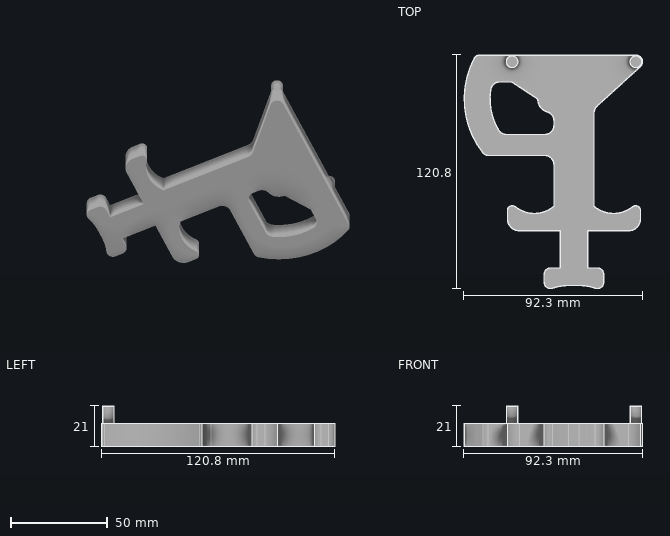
import cadquery as cq
import math


plate_thickness = 12.0
pin_diameter = 6.0
pin_height = 9.0
pin_spacing = 64.0
pin_margin = 3.5
top_y = pin_margin
center_x = pin_spacing / 2

stem_width = 20.9
flank_angle = 42.3
flank_fillet = 5.0

grip_left_x = -24.84
grip_center_y = -19.2
grip_outer_radius = 45.0
grip_thickness = 13.5
bar_top_y = -37.5
bar_bottom_y = -48.5
grip_top_fillet = 3.0
grip_bottom_fillet = 3.4
stem_fillet = 4.6

opening_top_y = -10.5
opening_wide_x = -0.15
lobe_radius = 7.0
lobe_x = 20.2
lobe_y = -19.3
opening_fillet = 4.5
lobe_fillet = 4.4

arm_span = 69.0
arm_bottom_y = -87.5
arm_scoop_radius = 15.6
arm_scoop_offset = 20.5
arm_scoop_low_y = -78.4
arm_tip_fillet = 2.6
arm_bottom_fillet = 6.4

neck_width = 14.4
foot_width = 31.0
foot_top_y = -106.6
foot_bottom_y = -117.34
foot_arch_y = -115.75
foot_arch_flat = 5.4
foot_fillet = 3.4

stem_left_x = center_x - stem_width / 2
stem_right_x = center_x + stem_width / 2
arm_left_x = center_x - arm_span / 2
foot_left_x = center_x - foot_width / 2
grip_center_x = grip_left_x + grip_outer_radius
grip_inner_radius = grip_outer_radius - grip_thickness
scoop_center_y = arm_scoop_low_y + arm_scoop_radius

foot_round_dx = (foot_width - foot_arch_flat) / 2 - foot_fillet
foot_round_dy = foot_arch_y - foot_bottom_y - foot_fillet
foot_arch_radius = (foot_round_dx**2 + foot_round_dy**2 - foot_fillet**2) / (2 * (foot_fillet + foot_round_dy))


def circle_x(center, radius, y, side):
    """X where a circle crosses the height y, on its left (-1) or right (+1) side."""
    return center[0] + side * math.sqrt(radius**2 - (y - center[1])**2)


def circle_y(center, radius, x, side):
    """Y where a circle crosses the position x, on its lower (-1) or upper (+1) side."""
    return center[1] + side * math.sqrt(radius**2 - (x - center[0])**2)


def fillet_at(solid, point, radius):
    """Round the upright edge that passes nearest to an XY point."""
    edge = cq.selectors.NearestToPointSelector((point[0], point[1], plate_thickness / 2))
    return solid.edges("|Z").edges(edge).fillet(radius)


def mirrored(point):
    """The matching point on the other side of the symmetry line."""
    return (2 * center_x - point[0], point[1])


def make_head():
    """Grip, nose and stem as one plate, with its outer corners rounded."""
    grip_center = (grip_center_x, grip_center_y)
    grip_top = (circle_x(grip_center, grip_outer_radius, top_y, -1), top_y)
    grip_bottom = (circle_x(grip_center, grip_outer_radius, bar_bottom_y, -1), bar_bottom_y)
    angle = math.radians(flank_angle)
    nose_end = (pin_spacing + pin_margin * math.sin(angle), -pin_margin * math.cos(angle))
    nose_middle = (pin_spacing + pin_margin * math.cos(angle / 2), pin_margin * math.sin(angle / 2))
    flank_end = (stem_right_x, nose_end[1] - (nose_end[0] - stem_right_x) * math.tan(angle))
    stem_corner = (stem_left_x, bar_bottom_y)
    head = (
        cq.Workplane("XY")
        .moveTo(*grip_top)
        .lineTo(pin_spacing, top_y)
        .threePointArc(nose_middle, nose_end)
        .lineTo(*flank_end)
        .lineTo(stem_right_x, arm_bottom_y)
        .lineTo(stem_left_x, arm_bottom_y)
        .lineTo(*stem_corner)
        .lineTo(*grip_bottom)
        .threePointArc((grip_left_x, grip_center_y), grip_top)
        .close()
        .extrude(plate_thickness)
    )
    head = fillet_at(head, grip_top, grip_top_fillet)
    head = fillet_at(head, grip_bottom, grip_bottom_fillet)
    head = fillet_at(head, stem_corner, stem_fillet)
    return fillet_at(head, flank_end, flank_fillet)


def make_opening():
    """Finger opening of the handle, bounded by the grip, the lower bar and the stem."""
    grip_center = (grip_center_x, grip_center_y)
    lobe_center = (lobe_x, lobe_y)
    lobe_start = (lobe_x - lobe_radius, lobe_y)
    lobe_middle_x = (lobe_start[0] + lobe_x) / 2
    lobe_middle = (lobe_middle_x, circle_y(lobe_center, lobe_radius, lobe_middle_x, -1))
    lobe_end = (stem_left_x, circle_y(lobe_center, lobe_radius, stem_left_x, -1))
    top_left = (circle_x(grip_center, grip_inner_radius, opening_top_y, -1), opening_top_y)
    bottom_left = (circle_x(grip_center, grip_inner_radius, bar_top_y, -1), bar_top_y)
    bottom_right = (stem_left_x, bar_top_y)
    opening = (
        cq.Workplane("XY")
        .moveTo(*top_left)
        .lineTo(opening_wide_x, opening_top_y)
        .lineTo(*lobe_start)
        .threePointArc(lobe_middle, lobe_end)
        .lineTo(*bottom_right)
        .lineTo(*bottom_left)
        .threePointArc((grip_center_x - grip_inner_radius, grip_center_y), top_left)
        .close()
        .extrude(plate_thickness)
    )
    opening = fillet_at(opening, lobe_end, lobe_fillet)
    for corner in (top_left, bottom_left, bottom_right):
        opening = fillet_at(opening, corner, opening_fillet)
    return opening


def make_arms():
    """Cross bar with a scooped upper side and a rounded tip at each end."""
    scoop_center = (center_x - arm_scoop_offset, scoop_center_y)
    scoop_low = (scoop_center[0], arm_scoop_low_y)
    scoop_inner = (stem_left_x, circle_y(scoop_center, arm_scoop_radius, stem_left_x, -1))
    tip = (arm_left_x, circle_y(scoop_center, arm_scoop_radius, arm_left_x, -1))
    bottom = (arm_left_x, arm_bottom_y)
    arms = (
        cq.Workplane("XY")
        .moveTo(*bottom)
        .lineTo(*tip)
        .threePointArc(scoop_low, scoop_inner)
        .lineTo(*mirrored(scoop_inner))
        .threePointArc(mirrored(scoop_low), mirrored(tip))
        .lineTo(*mirrored(bottom))
        .close()
        .extrude(plate_thickness)
    )
    for corner, radius in ((tip, arm_tip_fillet), (bottom, arm_bottom_fillet)):
        arms = fillet_at(arms, corner, radius)
        arms = fillet_at(arms, mirrored(corner), radius)
    return arms


def make_neck():
    """Straight bar from the arms down into the foot."""
    length = arm_bottom_y - foot_top_y
    return (
        cq.Workplane("XY")
        .center(center_x, foot_top_y + length / 2)
        .rect(neck_width, length)
        .extrude(plate_thickness)
    )


def make_foot():
    """Cross piece at the end of the neck, with an arched underside and rounded corners."""
    flat_end = (center_x - foot_arch_flat / 2, foot_arch_y)
    arch_center = (flat_end[0], foot_arch_y - foot_arch_radius)
    arch_middle_x = (foot_left_x + flat_end[0]) / 2
    arch_middle = (arch_middle_x, circle_y(arch_center, foot_arch_radius, arch_middle_x, 1))
    top = (foot_left_x, foot_top_y)
    toe = (foot_left_x, circle_y(arch_center, foot_arch_radius, foot_left_x, 1))
    foot = (
        cq.Workplane("XY")
        .moveTo(*top)
        .lineTo(*toe)
        .threePointArc(arch_middle, flat_end)
        .lineTo(*mirrored(flat_end))
        .threePointArc(mirrored(arch_middle), mirrored(toe))
        .lineTo(*mirrored(top))
        .close()
        .extrude(plate_thickness)
    )
    for corner in (top, toe):
        foot = fillet_at(foot, corner, foot_fillet)
        foot = fillet_at(foot, mirrored(corner), foot_fillet)
    return foot


def make_pins():
    """Two locating pins standing on the plate."""
    return (
        cq.Workplane("XY")
        .workplane(offset=plate_thickness)
        .pushPoints([(0, 0), (pin_spacing, 0)])
        .circle(pin_diameter / 2)
        .extrude(pin_height)
    )


plate = make_head().cut(make_opening()).union(make_arms()).union(make_neck()).union(make_foot())
result = plate.union(make_pins())